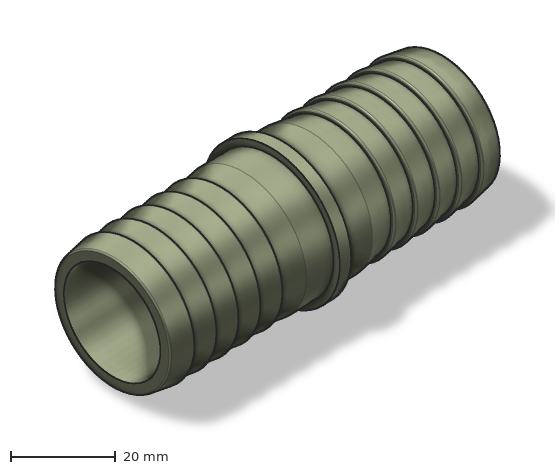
import cadquery as cq

length = 90.0
bore_radius = 13.0
collar_radius = 18.3
collar_width = 3.1
hub_radius = 16.6
hub_length = 18.0
root_radius = 15.6
crest_radius = 16.5
barb_count = 5
barb_pitch = 5.985
crest_round = 0.45
end_round = 0.4

half_length = length / 2
hub_end = hub_length / 2
barbs_start = half_length - barb_count * barb_pitch


def centred_disc(radius, width):
    """Cylinder on the Y axis, centred on the middle plane."""
    return cq.Workplane("XZ", origin=(0, width / 2, 0)).circle(radius).extrude(width)


def hose_tail():
    """Solid barbed tail from the hub to the +Y end; the profile is given as (y, radius)."""
    profile = (
        cq.Workplane("YZ")
        .moveTo(hub_end, 0)
        .lineTo(hub_end, hub_radius)
        .lineTo(barbs_start, root_radius)
    )
    for barb in range(barb_count):
        step = barbs_start + barb * barb_pitch
        tip = step + barb_pitch
        if barb == barb_count - 1:
            tip -= end_round
        profile = (
            profile.lineTo(step, crest_radius - crest_round)
            .radiusArc((step + crest_round, crest_radius), crest_round)
            .lineTo(tip, root_radius)
        )
    profile = (
        profile.radiusArc((half_length, root_radius - end_round), end_round)
        .lineTo(half_length, 0)
        .close()
    )
    return profile.revolve(360, (0, 0, 0), (1, 0, 0))


tail = hose_tail()
hub = centred_disc(hub_radius, hub_length)
collar = centred_disc(collar_radius, collar_width)
bore = centred_disc(bore_radius, length)

result = hub.union(collar).union(tail).union(tail.mirror("XZ")).cut(bore)